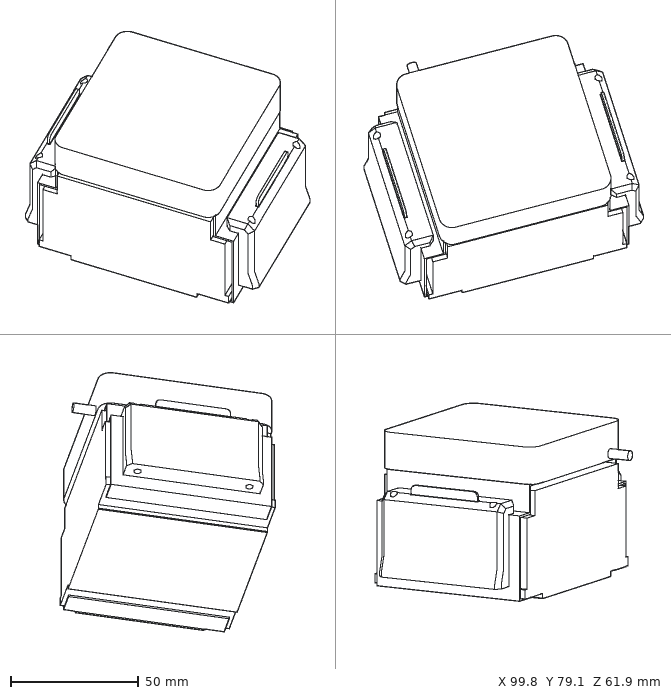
import cadquery as cq

LEFT = -1
RIGHT = 1

box_side = 70.1
box_height = 15.0
box_bottom = 46.9
box_corner_radius = 5.1
cable_diameter = 3.9
cable_length = 9.0
cable_x = -24.95
cable_z = 49.7

sheet = 0.8
bracket_depth = 64.9
bracket_neck_half = 34.1
bracket_half = 41.9
top_lip_end = 23.7
bottom_lip_end = 33.1
shelf_top = 35.5

body_depth = 68.3
body_underside = 2.1
body_top = 44.3
body_neck_half = 32.8
body_half = 38.9
body_shoulder = 34.3
foot_half = 40.5
foot_top = 5.8
pad_half = 26.9
pad_bevel = 0.3

bracket_bottom = body_underside - sheet

cover_depth = 55.3
cover_inner = 36.3
cover_outer = 48.0
cover_flare = 49.9
cover_bottom = 6.8
skirt_top = 8.8
flare_top = 15.0
cover_top = 40.3
top_bevel = 2.8
end_bevel = 1.9
hole_diameter = 2.8
hole_spacing = 45.1
hole_offset = 45.4

tab_length = 30.1
tab_thickness = 1.0
tab_outer = 45.1
tab_centre = tab_outer - tab_thickness / 2
tab_top = 43.9
tab_corner_radius = 2.0
recess_margin = 0.2
recess_depth = 0.3


def extrude_profile(points, depth):
    """Extrude an XZ outline by depth, centred on Y = 0."""
    return cq.Workplane("XZ").polyline(points).close().extrude(depth / 2, both=True)


def make_top_box():
    box = (
        cq.Workplane("XY")
        .workplane(offset=box_bottom)
        .rect(box_side, box_side)
        .extrude(box_height)
        .edges("|Z")
        .fillet(box_corner_radius)
    )
    stub = (
        cq.Workplane("XZ")
        .center(cable_x, cable_z)
        .circle(cable_diameter / 2)
        .extrude(-(box_side / 2 + cable_length))
    )
    return box.union(stub)


def make_main_body():
    right_half = [
        (pad_half - pad_bevel, 0),
        (pad_half, pad_bevel),
        (pad_half, body_underside),
        (foot_half, body_underside),
        (foot_half, foot_top),
        (body_half, foot_top),
        (body_half, body_shoulder),
        (body_neck_half, body_shoulder),
        (body_neck_half, body_top),
    ]
    left_half = [(-x, z) for x, z in reversed(right_half)]
    return extrude_profile(right_half + left_half, body_depth)


def make_bracket(side):
    outer = [
        (top_lip_end, box_bottom),
        (bracket_neck_half, box_bottom),
        (bracket_neck_half, shelf_top),
        (bracket_half, shelf_top),
        (bracket_half, bracket_bottom),
        (bottom_lip_end, bracket_bottom),
    ]
    inner = [
        (bottom_lip_end, body_underside),
        (bracket_half - sheet, body_underside),
        (bracket_half - sheet, shelf_top - sheet),
        (bracket_neck_half - sheet, shelf_top - sheet),
        (bracket_neck_half - sheet, box_bottom - sheet),
        (top_lip_end, box_bottom - sheet),
    ]
    return extrude_profile([(side * x, z) for x, z in outer + inner], bracket_depth)


def make_tab(side):
    tab_bottom = cover_top - top_bevel
    return (
        cq.Workplane("XY")
        .box(tab_thickness, tab_length, tab_top - tab_bottom, centered=(True, True, False))
        .edges("|X and >Z")
        .fillet(tab_corner_radius)
        .translate((side * tab_centre, 0, tab_bottom))
    )


def make_tab_recess(side):
    return (
        cq.Workplane("XY")
        .workplane(offset=cover_top - recess_depth)
        .center(side * tab_centre, 0)
        .rect(tab_thickness + 2 * recess_margin, tab_length + 2 * recess_margin)
        .extrude(recess_depth)
    )


def make_cover(side):
    outline = [
        (cover_inner, cover_bottom),
        (cover_flare, cover_bottom),
        (cover_flare, skirt_top),
        (cover_outer, flare_top),
        (cover_outer, cover_top - top_bevel),
        (cover_outer - top_bevel, cover_top),
        (cover_inner, cover_top),
    ]
    cover = extrude_profile([(side * x, z) for x, z in outline], cover_depth)

    for end in ("<Y", ">Y"):
        cover = cover.faces(end).edges("not <Z").chamfer(end_bevel)

    notch = (
        cq.Workplane("XY")
        .box(2 * bracket_half, cover_depth, shelf_top, centered=(True, True, False))
    )
    cover = cover.cut(notch).cut(make_tab_recess(side)).union(make_tab(side))

    holes = (
        cq.Workplane("XY")
        .pushPoints([(side * hole_offset, y) for y in (-hole_spacing / 2, hole_spacing / 2)])
        .circle(hole_diameter / 2)
        .extrude(cover_top)
    )
    return cover.cut(holes)


top_box = make_top_box()
main_body = make_main_body()
brackets = [make_bracket(side) for side in (LEFT, RIGHT)]
covers = [make_cover(side) for side in (LEFT, RIGHT)]

result = cq.Compound.makeCompound(
    [top_box.val(), main_body.val()]
    + [bracket.val() for bracket in brackets]
    + [cover.val() for cover in covers]
)